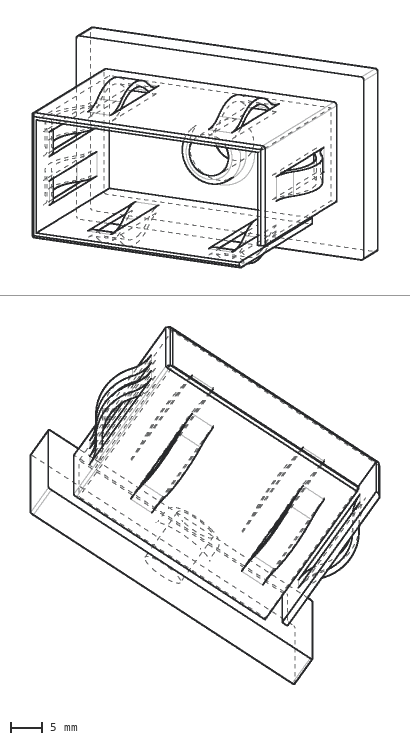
import cadquery as cq
import math

plate_width = 50.0
plate_height = 30.0
plate_thickness = 5.0
plate_corner_radius = 0.5

sleeve_width = 40.5
sleeve_height = 20.5
sleeve_depth = 26.0
wall = 1.0
edge_radius = 0.5
rim_chamfer = 0.5
corner_gap = 4.25

clip_width = 4.0
clip_length = 17.0
clip_rise = 3.0
crown_half_length = 5.0
long_wall_clip_offset = 10.5
short_wall_clip_offset = 4.0

hole_radius = 3.4
collar_radius = 5.0
collar_fillet = 1.0
collar_height = 4.0

clip_half_length = clip_length / 2
bow_angle = 2 * math.atan(clip_rise / clip_half_length)
crown_radius = crown_half_length / math.sin(bow_angle)
foot_radius = (clip_half_length - crown_half_length) / math.sin(bow_angle)


def make_plate():
    plate = cq.Workplane("XY").box(plate_width, plate_thickness, plate_height)
    plate = plate.edges("|Y").fillet(plate_corner_radius)
    return plate.translate((0, plate_thickness / 2, 0))


def make_sleeve():
    outer = cq.Workplane("XZ").rect(sleeve_width, sleeve_height).extrude(sleeve_depth)
    outer = outer.edges("|Y").fillet(edge_radius)
    outer = outer.faces("<Y").chamfer(rim_chamfer)
    inner = (
        cq.Workplane("XZ")
        .rect(sleeve_width - 2 * wall, sleeve_height - 2 * wall)
        .extrude(sleeve_depth)
    )
    gap = (
        cq.Workplane("XZ")
        .center((sleeve_width - corner_gap) / 2, (corner_gap - sleeve_height) / 2)
        .rect(corner_gap, corner_gap)
        .extrude(sleeve_depth)
    )
    return outer.cut(inner).cut(gap)


def make_slot():
    slot = cq.Workplane("XY").box(clip_width, clip_length, wall)
    return slot.translate((0, 0, -wall / 2))


def make_clip():
    crown_center = clip_rise - crown_radius

    def crown_point(radius, angle):
        return (radius * math.sin(angle), crown_center + radius * math.cos(angle))

    def foot_point(radius, angle, side):
        return (
            side * (clip_half_length - radius * math.sin(angle)),
            foot_radius - radius * math.cos(angle),
        )

    outer_crown = crown_radius
    inner_crown = crown_radius - wall
    outer_foot = foot_radius
    inner_foot = foot_radius + wall
    half_angle = bow_angle / 2

    return (
        cq.Workplane("YZ")
        .moveTo(*foot_point(outer_foot, 0, -1))
        .threePointArc(foot_point(outer_foot, half_angle, -1), crown_point(outer_crown, -bow_angle))
        .threePointArc(crown_point(outer_crown, 0), crown_point(outer_crown, bow_angle))
        .threePointArc(foot_point(outer_foot, half_angle, 1), foot_point(outer_foot, 0, 1))
        .lineTo(*foot_point(inner_foot, 0, 1))
        .threePointArc(foot_point(inner_foot, half_angle, 1), crown_point(inner_crown, bow_angle))
        .threePointArc(crown_point(inner_crown, 0), crown_point(inner_crown, -bow_angle))
        .threePointArc(foot_point(inner_foot, half_angle, -1), foot_point(inner_foot, 0, -1))
        .close()
        .extrude(clip_width / 2, both=True)
    )


def place_on_wall(shape, turn, wall_distance, offset):
    raised = shape.translate((offset, -sleeve_depth / 2, wall_distance))
    return raised.rotate((0, 0, 0), (0, 1, 0), turn)


def make_collar():
    base_radius = collar_radius + collar_fillet
    rim_radius = collar_radius - collar_fillet
    return (
        cq.Workplane("XY")
        .moveTo(0, 0)
        .lineTo(base_radius, 0)
        .radiusArc((collar_radius, -collar_fillet), -collar_fillet)
        .lineTo(collar_radius, collar_fillet - collar_height)
        .radiusArc((rim_radius, -collar_height), collar_fillet)
        .lineTo(0, -collar_height)
        .close()
        .revolve(360, (0, 0, 0), (0, 1, 0))
    )


half_width = sleeve_width / 2
half_height = sleeve_height / 2
clip_walls = [
    (0, half_height, (-long_wall_clip_offset, long_wall_clip_offset)),
    (180, half_height, (-long_wall_clip_offset, long_wall_clip_offset)),
    (-90, half_width, (-short_wall_clip_offset, short_wall_clip_offset)),
    (90, half_width, (-corner_gap / 2,)),
]

result = make_plate().union(make_sleeve())
for turn, wall_distance, offsets in clip_walls:
    for offset in offsets:
        result = result.cut(place_on_wall(make_slot(), turn, wall_distance, offset))
        result = result.union(place_on_wall(make_clip(), turn, wall_distance, offset))

result = result.union(make_collar())
hole = (
    cq.Workplane("XZ", origin=(0, plate_thickness, 0))
    .circle(hole_radius)
    .extrude(plate_thickness + collar_height)
)
result = result.cut(hole)